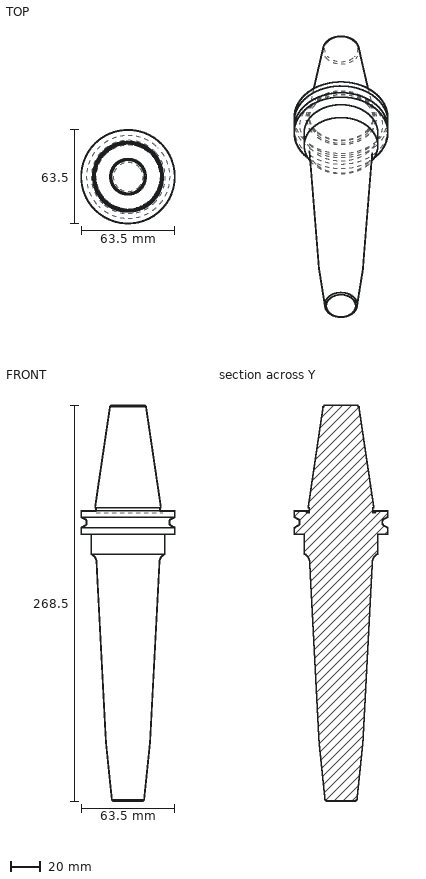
import cadquery as cq

total_height = 268.5

gauge_height = 200.0
gauge_radius = 22.3
taper_ratio = 7 / 24
shank_radius = gauge_radius - taper_ratio / 2 * (total_height - gauge_height)
shank_chamfer = 1.0

land_height = 1.0
neck_radius = 21.7
recess_rim_radius = 24.0
recess_floor_radius = 23.0
recess_depth = 1.0

flange_diameter = 63.5
flange_radius = flange_diameter / 2
flange_bottom = 181.0
flange_top = 196.7
groove_floor_radius = 28.2
groove_centre = 189.0
groove_floor_width = 3.2
groove_mouth_width = 7.0
groove_corner_fillet = 1.0

shoulder_radius = 25.0
shoulder_bottom = 167.5
flare_bottom = 163.0
body_top_radius = 21.5
flare_sag = 0.8

nose_height = 40.0
nose_top_radius = 15.0
tip_radius = 11.0
tip_chamfer = 1.0

neck_top = gauge_height - land_height
recess_floor = flange_top - recess_depth

flare_middle = (
    (shoulder_radius + body_top_radius) / 2 - flare_sag,
    (shoulder_bottom + flare_bottom) / 2,
)

profile = (
    cq.Workplane("XZ")
    .moveTo(0, 0)
    .lineTo(tip_radius - tip_chamfer, 0)
    .lineTo(tip_radius, tip_chamfer)
    .lineTo(nose_top_radius, nose_height)
    .lineTo(body_top_radius, flare_bottom)
    .threePointArc(flare_middle, (shoulder_radius, shoulder_bottom))
    .lineTo(shoulder_radius, flange_bottom)
    .lineTo(flange_radius, flange_bottom)
    .lineTo(flange_radius, groove_centre - groove_mouth_width / 2)
    .lineTo(groove_floor_radius, groove_centre - groove_floor_width / 2)
    .lineTo(groove_floor_radius, groove_centre + groove_floor_width / 2)
    .lineTo(flange_radius, groove_centre + groove_mouth_width / 2)
    .lineTo(flange_radius, flange_top)
    .lineTo(recess_rim_radius, flange_top)
    .lineTo(recess_floor_radius, recess_floor)
    .lineTo(neck_radius, recess_floor)
    .lineTo(neck_radius, neck_top)
    .lineTo(gauge_radius, neck_top)
    .lineTo(gauge_radius, gauge_height)
    .lineTo(shank_radius, total_height - shank_chamfer)
    .lineTo(shank_radius - shank_chamfer, total_height)
    .lineTo(0, total_height)
    .close()
)

holder = profile.revolve(360, (0, 0, 0), (0, 1, 0))

groove_corners = cq.selectors.BoxSelector(
    (-flange_radius, -flange_radius, groove_centre - groove_floor_width),
    (flange_radius, flange_radius, groove_centre + groove_floor_width),
)
result = holder.edges("%CIRCLE").edges(groove_corners).fillet(groove_corner_fillet)